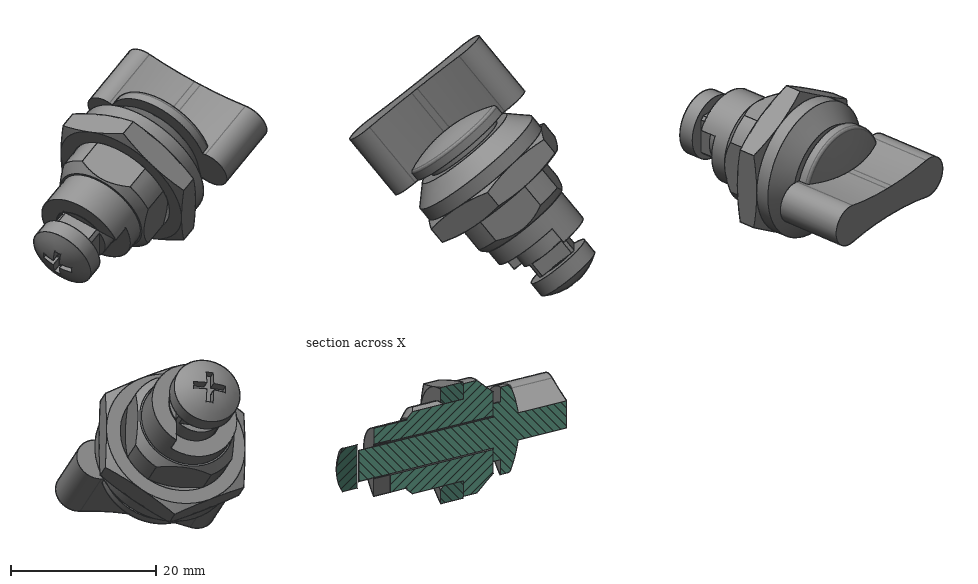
import cadquery as cq
import math


collar_height = 4.5
collar_diameter = 20.0
collar_chamfer = 2.5
thread_diameter = 16.0
thread_length = 8.5
thread_end_chamfer = 1.25
thread_across_flats = 13.9
barrel_diameter = 13.0
barrel_length = 5.0
stop_depth = 2.5
stop_offset = 3.0
bore_diameter = 8.2

thread_end_y = -thread_length
barrel_end_y = thread_end_y - barrel_length

nut_height = 3.5
nut_across_flats = 20.0
nut_chamfer_angle = 19.0
nut_bore_diameter = 13.84

neck_diameter = 11.5
neck_height = 1.0
cap_diameter = 16.0
cap_edge_height = 1.5
cap_height = 3.1
cap_edge_fillet = 0.5
wing_length = 10.0
wing_span = 23.0
wing_tip_radius = 3.0
wing_waist_radius = 40.0
wing_flat_width = 1.0
spindle_diameter = 8.0
spindle_across_flats = 6.1
square_length = 2.25

cap_base_y = collar_height + neck_height
square_end_y = barrel_end_y - square_length

shank_diameter = 5.0
shank_length = 10.0
head_gap = 0.2
head_diameter = 9.5
head_rim_height = 2.25
head_dome_height = 1.5
cross_length = 4.6
cross_width = 1.0
cross_depth = 1.5

head_base_y = square_end_y - head_gap
head_end_y = head_base_y - head_rim_height - head_dome_height


def cylinder(diameter, start_y, end_y):
    """Round bar on the Y axis between two Y positions."""
    return cq.Workplane("XZ", origin=(0, start_y, 0)).circle(diameter / 2).extrude(start_y - end_y)


def square_bar(width, start_y, end_y):
    """Square bar on the Y axis, its sides parallel to X and Z."""
    return cq.Workplane("XZ", origin=(0, start_y, 0)).rect(width, width).extrude(start_y - end_y)


def dome_middle(edge_radius, edge_y, apex_y):
    """Point halfway along the arc of a dome, from its edge (radius, y) to its apex on the axis."""
    rise = apex_y - edge_y
    dome_radius = (edge_radius**2 + rise**2) / (2 * abs(rise))
    half_angle = math.asin(edge_radius / dome_radius) / 2
    drop = math.copysign(dome_radius * (1 - math.cos(half_angle)), rise)
    return dome_radius * math.sin(half_angle), apex_y - drop


def turn(profile):
    """Turn a closed XY outline around the Y axis."""
    return profile.close().revolve(360, (0, 0, 0), (0, 1, 0))


def make_housing():
    collar = cylinder(collar_diameter, collar_height, 0).faces(">Y").chamfer(collar_chamfer)
    thread = cylinder(thread_diameter, 0, thread_end_y).faces("<Y").chamfer(thread_end_chamfer)
    thread = thread.intersect(square_bar(thread_across_flats, 0, thread_end_y))
    barrel = cylinder(barrel_diameter, thread_end_y, barrel_end_y)

    recess = cq.Workplane("XY").box(
        barrel_diameter, stop_depth, barrel_diameter, centered=(False, False, False)
    ).translate((-stop_offset, barrel_end_y, stop_offset - barrel_diameter))
    bore = cylinder(bore_diameter, collar_height, barrel_end_y)
    return collar.union(thread).union(barrel.cut(recess)).cut(bore)


def make_nut(housing):
    corner_diameter = nut_across_flats / math.cos(math.radians(30))
    hexagon = (
        cq.Workplane("XZ")
        .transformed(rotate=(0, 0, 90))
        .polygon(6, corner_diameter)
        .extrude(nut_height)
    )
    face_radius = nut_across_flats / 2
    corner_radius = corner_diameter / 2
    corner_drop = (corner_radius - face_radius) * math.tan(math.radians(nut_chamfer_angle))
    corner_cone = turn(
        cq.Workplane("XY")
        .lineTo(face_radius, 0)
        .lineTo(corner_radius, -corner_drop)
        .lineTo(corner_radius, corner_drop - nut_height)
        .lineTo(face_radius, -nut_height)
        .lineTo(0, -nut_height)
    )
    countersink = (thread_diameter - nut_bore_diameter) / 2
    bore = cylinder(nut_bore_diameter, 0, -nut_height)
    nut = hexagon.intersect(corner_cone).cut(bore)
    nut = nut.faces("<Y").edges("%CIRCLE").edges(cq.selectors.RadiusNthSelector(0)).chamfer(countersink)
    return nut.cut(housing)


def make_screw():
    head_radius = head_diameter / 2
    rim_y = head_base_y - head_rim_height
    head = turn(
        cq.Workplane("XY")
        .moveTo(0, head_base_y)
        .lineTo(head_radius, head_base_y)
        .lineTo(head_radius, rim_y)
        .threePointArc(dome_middle(head_radius, rim_y, head_end_y), (0, head_end_y))
    )
    for size_x, size_z in ((cross_length, cross_width), (cross_width, cross_length)):
        slot = cq.Workplane("XZ", origin=(0, head_end_y + cross_depth, 0)).rect(size_x, size_z)
        head = head.cut(slot.extrude(cross_depth))
    shank = cylinder(shank_diameter, head_base_y + shank_length, head_base_y)
    return head.union(shank)


def make_wing():
    """Bar with round tips and hollow flanks, its outline in XZ mirrored on both axes."""
    tip_x = wing_span / 2 - wing_tip_radius
    flat_x = wing_flat_width / 2
    center_distance = wing_waist_radius + wing_tip_radius
    blend_angle = math.asin((tip_x - flat_x) / center_distance)
    waist_z = center_distance * math.cos(blend_angle) - wing_waist_radius

    def waist_point(angle):
        return (
            flat_x + wing_waist_radius * math.sin(angle),
            waist_z + wing_waist_radius * (1 - math.cos(angle)),
        )

    middle_x, middle_z = waist_point(blend_angle / 2)
    blend_x, blend_z = waist_point(blend_angle)
    tip_end_x = wing_span / 2
    return (
        cq.Workplane("XZ", origin=(0, cap_base_y + wing_length, 0))
        .moveTo(-flat_x, waist_z)
        .lineTo(flat_x, waist_z)
        .threePointArc((middle_x, middle_z), (blend_x, blend_z))
        .threePointArc((tip_end_x, 0), (blend_x, -blend_z))
        .threePointArc((middle_x, -middle_z), (flat_x, -waist_z))
        .lineTo(-flat_x, -waist_z)
        .threePointArc((-middle_x, -middle_z), (-blend_x, -blend_z))
        .threePointArc((-tip_end_x, 0), (-blend_x, blend_z))
        .threePointArc((-middle_x, middle_z), (-flat_x, waist_z))
        .close()
        .extrude(wing_length)
    )


def make_handle(screw):
    cap_radius = cap_diameter / 2
    edge_y = cap_base_y + cap_edge_height
    apex_y = cap_base_y + cap_height
    cap = turn(
        cq.Workplane("XY")
        .moveTo(0, cap_base_y)
        .lineTo(cap_radius, cap_base_y)
        .lineTo(cap_radius, edge_y)
        .threePointArc(dome_middle(cap_radius, edge_y, apex_y), (0, apex_y))
    )
    rims = cap.edges("%CIRCLE").edges(cq.selectors.RadiusNthSelector(0))
    cap = rims.edges(">Y").fillet(cap_edge_fillet)
    neck = cylinder(neck_diameter, cap_base_y, collar_height)
    spindle = cylinder(spindle_diameter, collar_height, barrel_end_y)
    square = cylinder(spindle_diameter, barrel_end_y, square_end_y).intersect(
        square_bar(spindle_across_flats, barrel_end_y, square_end_y)
    )
    return make_wing().union(cap).union(neck).union(spindle).union(square).cut(screw)


housing = make_housing()
nut = make_nut(housing)
screw = make_screw()
handle = make_handle(screw)

result = cq.Compound.makeCompound([housing.val(), nut.val(), screw.val(), handle.val()])